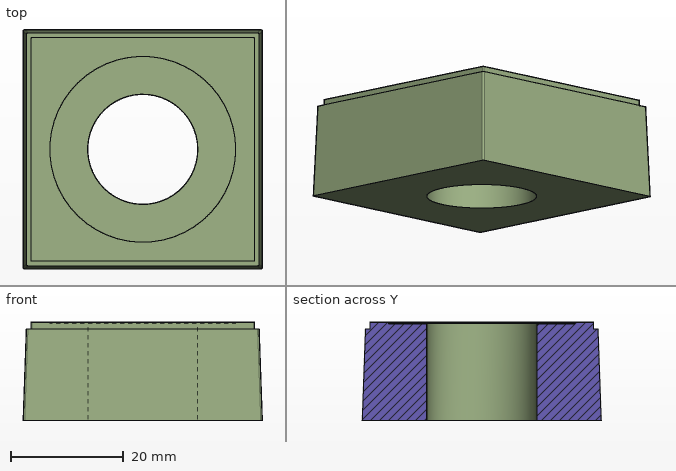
import cadquery as cq
import math

base_side = 42.5
total_height = 17.5
pad_height = 1.2
body_height = total_height - pad_height
draft_angle = 2.0
shoulder_side = base_side - 2 * body_height * math.tan(math.radians(draft_angle))
body_corner_radius = 0.3

pad_side = 39.7
pad_corner_radius = 0.2

recess_diameter = 33.0
recess_depth = 0.3
bore_diameter = 19.5


def rounded_square(side, corner_radius):
    """Flat square with rounded corners, centred on the axis."""
    return cq.Sketch().rect(side, side).vertices().fillet(corner_radius)


def tapered_body():
    """Square block that narrows from the base up to the shoulder."""
    shoulder_location = cq.Location(cq.Vector(0, 0, body_height))
    return (
        cq.Workplane("XY")
        .placeSketch(
            rounded_square(base_side, body_corner_radius),
            rounded_square(shoulder_side, body_corner_radius).moved(shoulder_location),
        )
        .loft()
    )


def top_pad():
    """Straight-sided square step that carries the top face."""
    return (
        cq.Workplane("XY")
        .workplane(offset=body_height)
        .placeSketch(rounded_square(pad_side, pad_corner_radius))
        .extrude(pad_height)
    )


def top_recess():
    """Shallow round pocket in the top face."""
    return (
        cq.Workplane("XY")
        .workplane(offset=total_height - recess_depth)
        .circle(recess_diameter / 2)
        .extrude(recess_depth)
    )


def through_bore():
    """Round hole through the full height."""
    return cq.Workplane("XY").circle(bore_diameter / 2).extrude(total_height)


result = tapered_body().union(top_pad()).cut(top_recess()).cut(through_bore())